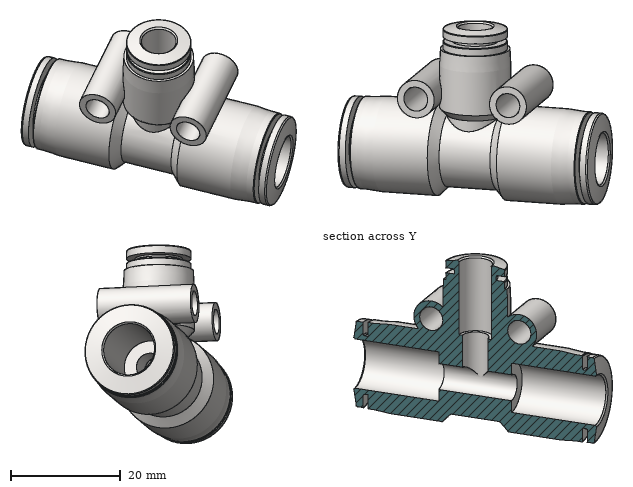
import cadquery as cq

length = 48.4
half_length = length / 2
body_dia = 17.5
body_end_dia = 17.0
run_lip_dia = 16.8
run_lip_edge = 0.3
run_groove_dia = 11.5
run_socket_dia = 9.55
neck_dia = 14.05
body_inner_x = 6.6
run_socket_depth = 16.95

branch_top = 23.4
branch_dia = 13.0
branch_taper_dia = 12.75
branch_lip_dia = 11.8
branch_lip_edge = 0.15
branch_groove_dia = 8.35
branch_root_dia = 10.4
branch_shoulder_z = 8.1
branch_socket_dia = 6.35
branch_socket_depth = 14.5

lip_crown = 0.5
lip_end = 1.95
flare_end = 2.25
groove_end = 2.8
collar_end = 4.2
taper_end = 7.2
mouth_chamfer = 0.3
groove_flare = 0.15
collar_chamfer = 0.15

passage_dia = 5.0

tube_dia = 7.0
tube_hole_dia = 4.5
tube_length = body_dia
tube_x = 8.75
tube_z = 11.1


def revolve_z(points):
    """Revolve a (radius, height) outline around the Z axis."""
    return cq.Workplane("XZ").polyline(points).close().revolve(360, (0, 0), (0, 1))


def push_in_outline(face, mouth_dia, lip_dia, lip_edge, groove_dia, collar_dia):
    """(radius, height) points from the mouth rim down a crowned release lip and a groove to the collar."""
    lip_radius = lip_dia / 2
    groove_radius = groove_dia / 2
    collar_radius = collar_dia / 2
    return [
        (mouth_dia / 2 + mouth_chamfer, face),
        (lip_radius - lip_edge / 2, face - lip_crown),
        (lip_radius, face - lip_crown - lip_edge),
        (lip_radius, face - lip_end),
        (groove_radius + groove_flare, face - lip_end),
        (groove_radius, face - flare_end),
        (groove_radius, face - groove_end),
        (collar_radius - collar_chamfer, face - groove_end),
        (collar_radius, face - groove_end - collar_chamfer),
        (collar_radius, face - collar_end),
    ]


def socket(face_z, dia, depth):
    """Tube socket with a chamfered mouth, to be cut from an end."""
    radius = dia / 2
    return revolve_z([
        (0, face_z),
        (radius + mouth_chamfer, face_z),
        (radius, face_z - mouth_chamfer),
        (radius, face_z - depth),
        (0, face_z - depth),
    ])


def along_run(shape, side):
    """Turn a shape built on +Z to +X (side 1) or -X (side -1)."""
    return shape.rotate((0, 0, 0), (0, 1, 0), 90 * side)


def cylinder_y(dia, x, z):
    """Cylinder along Y, as long as a mounting tube."""
    back_end = cq.Workplane("XZ", origin=(x, tube_length / 2, z))
    return back_end.circle(dia / 2).extrude(tube_length)


neck_x = body_inner_x - (body_dia - neck_dia) / 2
run_half_outline = [
    (0, half_length),
    *push_in_outline(half_length, run_socket_dia, run_lip_dia, run_lip_edge, run_groove_dia, body_end_dia),
    (body_dia / 2, half_length - taper_end),
    (body_dia / 2, body_inner_x),
    (neck_dia / 2, neck_x),
]
mirrored_outline = [(radius, -height) for radius, height in reversed(run_half_outline)]
run = along_run(revolve_z(run_half_outline + mirrored_outline), 1)

root_z = branch_shoulder_z - (branch_dia - branch_root_dia) / 2
branch = revolve_z([
    (0, branch_top),
    *push_in_outline(
        branch_top, branch_socket_dia, branch_lip_dia, branch_lip_edge, branch_groove_dia, branch_lip_dia
    ),
    (branch_taper_dia / 2, branch_top - collar_end),
    (branch_dia / 2, branch_top - taper_end),
    (branch_dia / 2, branch_shoulder_z),
    (branch_root_dia / 2, root_z),
    (branch_root_dia / 2, 0),
    (0, 0),
])

result = run.union(branch)
for side in (-1, 1):
    result = result.union(cylinder_y(tube_dia, side * tube_x, tube_z))

run_socket = socket(half_length, run_socket_dia, run_socket_depth)
for side in (-1, 1):
    result = result.cut(along_run(run_socket, side))
    result = result.cut(cylinder_y(tube_hole_dia, side * tube_x, tube_z))
result = result.cut(socket(branch_top, branch_socket_dia, branch_socket_depth))

run_passage = cq.Workplane("YZ", origin=(-half_length, 0, 0)).circle(passage_dia / 2).extrude(length)
branch_passage = cq.Workplane("XY").circle(passage_dia / 2).extrude(branch_top)
result = result.cut(run_passage).cut(branch_passage)